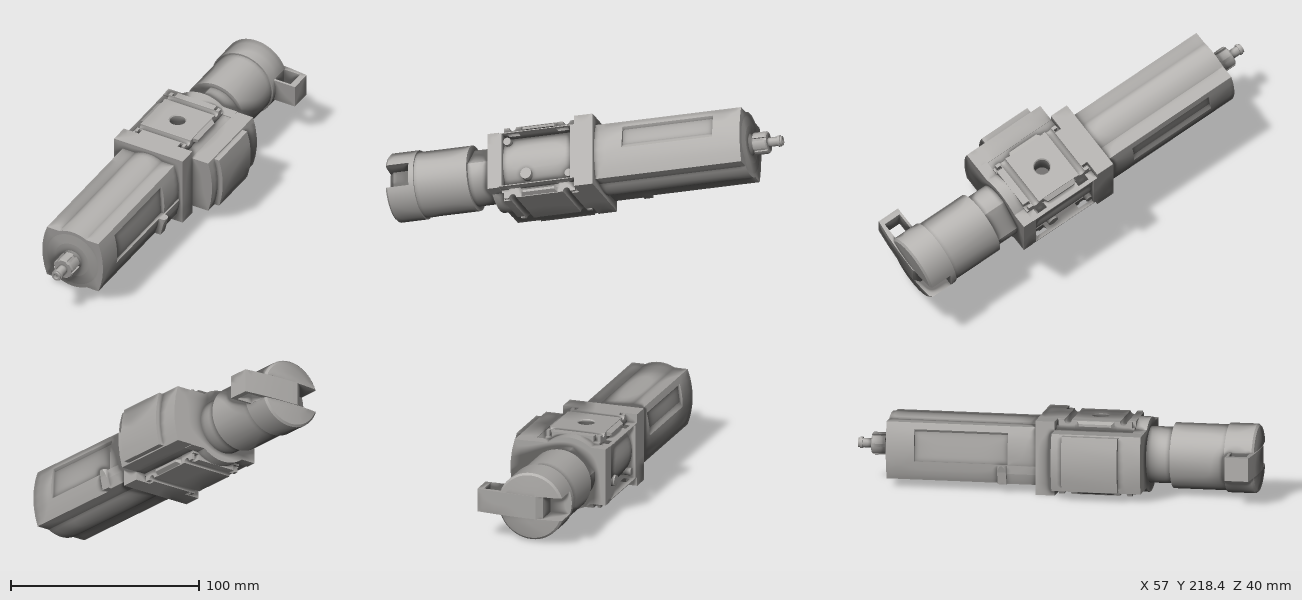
import cadquery as cq


cap_end_y = 109.2
cap_bottom_y = 91.8
knob_bottom_y = 62.3
block_top_y = 49.2
pad_top_y = 43.0
pad_bottom_y = 0.9
block_bottom_y = -9.6
bowl_bottom_y = -91.1
tip_y = -109.2

block_half_x = 21.0
block_half_z = 20.0
end_plate_z = 15.7
ledge_z = 15.3
pad_half_x = 15.3
pad_mid_y = (pad_top_y + pad_bottom_y) / 2
overlap = 0.5

recess_half_z = 14.9
recess_top_y = 41.3
recess_bottom_y = 3.0
barrel_r = 18.8
stud_face_x = -19.2
studs = [(28.5, -8.5, 6.1), (39.0, 11.0, 4.2), (4.5, -11.1, 4.2)]

groove_r = 2.0
groove_offset_y = 15.0
ledge_window_outer_x = 18.8
ledge_window_length = 6.5
ledge_window_ys = (32.3, 5.0)
corner_inner_x = 11.8
corner_floor_z = 16.8
corner_post = 1.7
corner_post_length = 2.5
corner_length = 3.7
relief_depth = 0.2
relief_half_length = 11.1
tab_reach = 2.2
tab_half_length = 8.7
tab_chamfer = 1.5
tab_low_z = 17.3
tab_rim_z = 18.5
tab_high_z = 19.9
port_d = 8.5
port_mouth_d = 9.6
port_depth = 11.0

cover_edge_x = 30.5
cover_crown_x = 33.0
cover_half_z = 15.5
lens_edge_x = 33.9
lens_crown_x = 36.0
lens_half_z = 14.9
lens_top_y = 37.1
lens_bottom_y = 7.0

neck_r = 15.0
neck_flat_distance = 12.5
neck_flat_angle = 45
knob_d = 35.2
cap_d = 37.1
cap_rim_y = 106.6
cap_shoulder_y = 107.7
cap_shoulder_r = 17.5
cap_dome_y = 109.0
slot_width = 12.7
slot_floor_y = 94.6

slide_end_x = -6.5
slide_crest_x = -3.3
slide_end_y = 106.6
hook_outer_x = 30.4
hook_outer_y = 107.3
hook_wall = 3.3
hook_strap = 1.5
hook_bar = 1.3
eye_inner_x = 17.5

bowl_d = 35.2
bowl_half_x = 18.5
bowl_flat_z = 15.5
rail_top_z = -5.2
rail_bottom_y = -25.5
rail_root_x = 15.3
rail_edge = [(19.2, rail_top_z), (18.8, -9.8), (17.3, -bowl_flat_z)]
latch_edge = [(22.0, rail_top_z), (20.8, -8.7), (19.2, -bowl_flat_z)]
latch_bottom_y = -30.4
latch_shoulder_x = 20.3
latch_tip = (22.0, -27.5)
latch_foot_x = 18.4
bowl_corner_x = 15.7
window_top_y = -25.1
window_bottom_y = -75.8
window_mouth_x = 19.7
window_top_z = 12.2
window_top_x = 17.0
window_floor_high = (15.7, 10.7)
left_window_rim = (18.5, -0.5)
left_window_floor_low = (16.8, 2.2)
right_window_shelf_x = 16.5
bottom_cone_r = 15.5
bottom_ring_r = 10.0
bottom_ring_y = -91.8

drain_neck_d = 8.5
drain_flare_r = 6.0
drain_flare_y = -93.0
nut_d = 12.0
nut_top_y = -94.0
nut_bottom_y = -101.5
nut_chamfer = 0.7
nut_groove_count = 6
nut_groove_width = 1.7
nut_groove_depth = 1.0
nipple_d = 5.0
barb_d = 6.1
barb_top_y = -106.8
barb_bottom_y = -108.2
nipple_bore_d = 3.0
nipple_bore_depth = 4.4


def box(x0, x1, y0, y1, z0, z1):
    """Box between opposite corners."""
    return cq.Workplane("XY").box(x1 - x0, y1 - y0, z1 - z0, centered=False).translate((x0, y0, z0))


def section(y):
    """Plane across the long axis at y; local x is X, local y is Z, extrusion goes to -Y."""
    return cq.Workplane("XZ", origin=(0, y, 0))


def rod(diameter, y_top, y_bottom):
    """Cylinder on the long axis."""
    return section(y_top).circle(diameter / 2).extrude(y_top - y_bottom)


def turned(profile):
    """Solid of revolution about the long axis from (radius, y) points."""
    return cq.Workplane("XY").polyline(profile).close().revolve(360, (0, 0, 0), (0, 1, 0))


def mirrored_z(shape):
    """The shape and its mirror image below the XY plane."""
    return shape.union(shape.mirror("XY"))


def convex_plate(root_x, edge_x, crown_x, half_z, y_top, y_bottom):
    """Plate whose +X face bulges from edge_x at its rims to crown_x on the mid plane."""
    return (
        section(y_top)
        .moveTo(root_x, -half_z)
        .lineTo(edge_x, -half_z)
        .threePointArc((crown_x, 0), (edge_x, half_z))
        .lineTo(root_x, half_z)
        .close()
        .extrude(y_top - y_bottom)
    )


def pad_groove(y):
    """Half-round cross groove in the pad face."""
    return (
        cq.Workplane("YZ", origin=(-pad_half_x, y, block_half_z))
        .circle(groove_r)
        .extrude(2 * pad_half_x)
    )


def pad_corner(side, end):
    """Pocket in one pad corner, with a small post left standing in it."""
    edge_y = pad_mid_y + end * (pad_top_y - pad_mid_y)
    inner_y = edge_y - end * corner_length
    post_y = inner_y + end * corner_post_length
    xs = sorted((side * corner_inner_x, side * pad_half_x))
    post_xs = sorted((side * (pad_half_x - corner_post), side * pad_half_x))
    pocket = box(*xs, *sorted((inner_y, edge_y)), corner_floor_z, block_half_z)
    post = box(*post_xs, *sorted((inner_y, post_y)), corner_floor_z, block_half_z)
    return pocket.cut(post)


def side_relief(side):
    """Very shallow step in the long edge of the pad, behind the tab."""
    xs = sorted((side * (pad_half_x - relief_depth), side * pad_half_x))
    low_y = pad_mid_y - relief_half_length
    high_y = pad_mid_y + relief_half_length
    return box(*xs, low_y, high_y, ledge_z, block_half_z)


def side_tab(side):
    """Sloping snap tab along one long edge of the pad."""
    reach_x = side * (pad_half_x + tab_reach)
    inner_x = side * (pad_half_x - overlap)
    tab = (
        section(pad_mid_y + tab_half_length + tab_chamfer)
        .moveTo(inner_x, tab_low_z)
        .lineTo(reach_x, tab_low_z)
        .lineTo(reach_x, tab_rim_z)
        .lineTo(inner_x, tab_high_z)
        .close()
        .extrude(2 * (tab_half_length + tab_chamfer))
    )
    outline = (
        cq.Workplane("XY")
        .polyline([
            (inner_x, pad_mid_y - tab_half_length - tab_chamfer),
            (reach_x, pad_mid_y - tab_half_length),
            (reach_x, pad_mid_y + tab_half_length),
            (inner_x, pad_mid_y + tab_half_length + tab_chamfer),
        ])
        .close()
        .extrude(block_half_z)
    )
    return tab.intersect(outline)


def make_pad():
    """Raised connection pad on the +Z side."""
    pad = box(-pad_half_x, pad_half_x, pad_bottom_y, pad_top_y, 0, block_half_z)
    for end in (-1, 1):
        pad = pad.cut(pad_groove(pad_mid_y + end * groove_offset_y))
    for side in (-1, 1):
        for end in (-1, 1):
            pad = pad.cut(pad_corner(side, end))
        pad = pad.cut(side_relief(side)).union(side_tab(side))
    return pad


def make_port():
    """Blind port with a conical mouth in the +Z pad."""
    mouth_depth = (port_mouth_d - port_d) / 2
    profile = [
        (0, block_half_z),
        (port_mouth_d / 2, block_half_z),
        (port_d / 2, block_half_z - mouth_depth),
        (port_d / 2, block_half_z - port_depth),
        (0, block_half_z - port_depth),
    ]
    port = cq.Workplane("XZ").polyline(profile).close().revolve(360, (0, 0, 0), (0, 1, 0))
    return port.translate((0, pad_mid_y, 0))


def side_recess():
    """Open recess on the -X side that leaves the inner barrel and the studs standing."""
    recess = box(-block_half_x, 0, recess_bottom_y, recess_top_y, -recess_half_z, recess_half_z)
    recess = recess.cut(rod(2 * barrel_r, block_top_y, block_bottom_y))
    for y, z, diameter in studs:
        stud = (
            cq.Workplane("YZ", origin=(stud_face_x, y, z))
            .circle(diameter / 2)
            .extrude(-stud_face_x)
        )
        recess = recess.cut(stud)
    return recess


def ledge_windows():
    """Square openings from the -X ledges into the side recess, in line with the grooves."""
    windows = cq.Workplane("XY")
    for y in ledge_window_ys:
        for low_z, high_z in ((recess_half_z, ledge_z), (-ledge_z, -recess_half_z)):
            windows = windows.add(
                box(-ledge_window_outer_x, -pad_half_x, y, y + ledge_window_length, low_z, high_z)
            )
    return windows.combine()


def make_block():
    base = box(-block_half_x, block_half_x, block_bottom_y, pad_bottom_y, -block_half_z, block_half_z)
    core = box(-block_half_x, block_half_x, pad_bottom_y, pad_top_y, -ledge_z, ledge_z)
    end_plate = box(-block_half_x, block_half_x, pad_top_y, block_top_y, -end_plate_z, end_plate_z)
    collar = rod(2 * block_half_z, block_top_y, pad_top_y)
    block = base.union(core).union(end_plate).union(collar).union(mirrored_z(make_pad()))
    block = block.cut(side_recess()).cut(ledge_windows())
    return block.cut(make_port())


def make_cover():
    cover = convex_plate(
        block_half_x - overlap, cover_edge_x, cover_crown_x, cover_half_z, block_top_y, pad_bottom_y
    )
    lens = convex_plate(
        cover_edge_x - overlap, lens_edge_x, lens_crown_x, lens_half_z, lens_top_y, lens_bottom_y
    )
    return cover.union(lens)


def make_neck():
    neck = rod(2 * neck_r, knob_bottom_y, block_top_y)
    flat = box(-2 * neck_r, -neck_flat_distance, block_top_y, knob_bottom_y, -neck_r, neck_r)
    return neck.cut(flat.rotate((0, 0, 0), (0, 1, 0), neck_flat_angle))


def make_knob():
    knob = rod(knob_d, cap_bottom_y, knob_bottom_y)
    dome_mid_y = cap_dome_y - (cap_dome_y - cap_shoulder_y) / 4
    cap = (
        cq.Workplane("XY")
        .moveTo(0, cap_bottom_y)
        .lineTo(cap_d / 2, cap_bottom_y)
        .lineTo(cap_d / 2, cap_rim_y)
        .lineTo(cap_shoulder_r, cap_shoulder_y)
        .threePointArc((cap_shoulder_r / 2, dome_mid_y), (0, cap_dome_y))
        .close()
        .revolve(360, (0, 0, 0), (0, 1, 0))
    )
    slot = box(-cap_d, cap_d, slot_floor_y, cap_end_y, -slot_width / 2, slot_width / 2)
    return knob.union(cap).cut(slot)


def bowl_prism():
    """Flat-topped section with bulging sides, joined with a full cylinder."""
    length = block_bottom_y - bowl_bottom_y
    sides = (
        section(block_bottom_y)
        .moveTo(-bowl_corner_x, bowl_flat_z)
        .lineTo(bowl_corner_x, bowl_flat_z)
        .threePointArc((bowl_half_x, 0), (bowl_corner_x, -bowl_flat_z))
        .lineTo(-bowl_corner_x, -bowl_flat_z)
        .threePointArc((-bowl_half_x, 0), (-bowl_corner_x, bowl_flat_z))
        .close()
        .extrude(length)
    )
    return sides.union(rod(bowl_d, block_bottom_y, bowl_bottom_y))


def sight_window(lower_edge):
    """Shallow recess in the +X side of the bowl, from the (x, z) points of its lower edge."""
    lower_z = lower_edge[0][1]
    return (
        section(window_top_y)
        .moveTo(window_mouth_x, lower_z)
        .polyline([*lower_edge, window_floor_high, (window_top_x, window_top_z)], includeCurrent=True)
        .lineTo(window_mouth_x, window_top_z)
        .close()
        .extrude(window_top_y - window_bottom_y)
    )


def bowl_windows():
    """Window with sloping long edges on -X, and one with a flat lower shelf on +X."""
    left = sight_window([left_window_rim, left_window_floor_low]).mirror("YZ")
    right = sight_window([(right_window_shelf_x, rail_top_z)])
    return left.union(right)


def edge_bar(outer_edge, y_top, y_bottom):
    """Bar along the lower +X side of the bowl, bounded by the (x, z) points of its outer edge."""
    root = [(rail_root_x, -bowl_flat_z), (rail_root_x, rail_top_z)]
    return section(y_top).polyline(outer_edge + root).close().extrude(y_top - y_bottom)


def bowl_rail():
    """Narrow guide strip low on the +X side, just below the block."""
    return edge_bar(rail_edge, block_bottom_y, rail_bottom_y)


def bowl_latch():
    """Rounded latch nose under the guide strip, receding toward the lower edge of the bowl."""
    nose = (
        cq.Workplane("XY")
        .moveTo(rail_root_x, rail_bottom_y)
        .lineTo(latch_shoulder_x, rail_bottom_y)
        .threePointArc(latch_tip, (latch_foot_x, latch_bottom_y))
        .lineTo(rail_root_x, latch_bottom_y)
        .close()
        .extrude(-bowl_flat_z)
    )
    return nose.intersect(edge_bar(latch_edge, rail_bottom_y, latch_bottom_y))


def make_bowl():
    bowl = bowl_prism().cut(bowl_windows())
    bottom = turned([
        (0, bowl_bottom_y + overlap),
        (bottom_cone_r, bowl_bottom_y + overlap),
        (bottom_cone_r, bowl_bottom_y),
        (bottom_ring_r, bottom_ring_y),
        (0, bottom_ring_y),
    ])
    return bowl.union(bottom).union(bowl_rail()).union(bowl_latch())


def make_nut():
    """Round grip nut with even grooves along its rim."""
    nut = rod(nut_d, nut_top_y, nut_bottom_y).faces("<Y").chamfer(nut_chamfer)
    groove = box(
        nut_d / 2 - nut_groove_depth, nut_d, nut_bottom_y, nut_top_y,
        -nut_groove_width / 2, nut_groove_width / 2,
    )
    for i in range(nut_groove_count):
        nut = nut.cut(groove.rotate((0, 0, 0), (0, 1, 0), i * 360 / nut_groove_count))
    return nut


def make_drain():
    flare = turned([
        (0, bottom_ring_y + overlap),
        (drain_flare_r, bottom_ring_y + overlap),
        (drain_flare_r, bottom_ring_y),
        (drain_neck_d / 2, drain_flare_y),
        (drain_neck_d / 2, nut_top_y - overlap),
        (0, nut_top_y - overlap),
    ])
    nipple = rod(nipple_d, nut_bottom_y + overlap, tip_y)
    barb = rod(barb_d, barb_top_y, barb_bottom_y)
    bore = rod(nipple_bore_d, tip_y + nipple_bore_depth, tip_y)
    return flare.union(make_nut()).union(nipple).union(barb).cut(bore)


def make_regulator():
    """Block, gauge cover, knob, bowl and drain as one solid."""
    return (
        make_block()
        .union(make_cover())
        .union(make_neck())
        .union(make_knob())
        .union(make_bowl())
        .union(make_drain())
    )


def make_lock_slide():
    """Slide lying in the cap slot, ending in a square padlock eye on the +X side."""
    slide = (
        cq.Workplane("XY", origin=(0, 0, -slot_width / 2))
        .moveTo(hook_outer_x, slot_floor_y)
        .lineTo(slide_end_x, slot_floor_y)
        .lineTo(slide_end_x, slide_end_y)
        .lineTo(slide_crest_x, cap_end_y)
        .lineTo(0, cap_end_y)
        .tangentArcPoint((hook_outer_x, hook_outer_y), relative=False)
        .close()
        .extrude(slot_width)
    )
    eye = box(
        eye_inner_x, hook_outer_x - hook_wall,
        slot_floor_y + hook_bar, hook_outer_y - hook_strap,
        -slot_width, slot_width,
    )
    return slide.cut(eye)


regulator = make_regulator()
lock_slide = make_lock_slide()

result = cq.Compound.makeCompound([regulator.val(), lock_slide.val()])